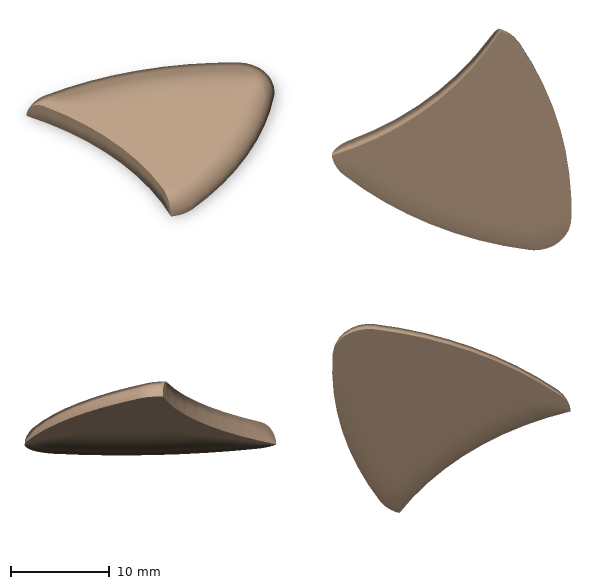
import cadquery as cq
import math

width = 23.32
length = 22.36
height = 2.0

corner_radius = 3.7
corner_center_y = 1.94
side_radius = 36.38
tail_arch = 2.05
edge_round = height
spare = 2.33

nose_center = (0.0, length - corner_radius)
corner_center = (width / 2 - corner_radius, corner_center_y)
tail_half_span = corner_center[0] + math.sqrt(corner_radius**2 - corner_center_y**2)


def along(center, radius, angle):
    """Point on a circle at an angle in radians."""
    return (center[0] + radius * math.cos(angle), center[1] + radius * math.sin(angle))


def mirrored(point):
    """Point reflected across the centerline X = 0."""
    return (-point[0], point[1])


def side_normals():
    """Angles of the side's outward normal where it meets the tail corner and the nose."""
    dx = corner_center[0] - nose_center[0]
    dy = nose_center[1] - corner_center[1]
    half_sweep = math.asin(math.hypot(dx, dy) / 2 / (side_radius - corner_radius))
    middle = math.atan2(dx, dy)
    return middle - half_sweep, middle + half_sweep


def make_blank():
    """Rounded triangle with a quarter-round top rim and spare stock below Z = 0."""
    low, high = side_normals()
    down = -math.pi / 2
    nose_end = along(nose_center, corner_radius, high)
    side_center = along(nose_center, side_radius - corner_radius, high + math.pi)
    side_middle = along(side_center, side_radius, (low + high) / 2)
    corner_start = along(corner_center, corner_radius, low)
    corner_middle = along(corner_center, corner_radius, (low + down) / 2)
    corner_end = along(corner_center, corner_radius, down)

    outline = (
        cq.Workplane("XY", origin=(0, 0, -spare))
        .moveTo(*mirrored(nose_end))
        .threePointArc((0, length), nose_end)
        .threePointArc(side_middle, corner_start)
        .threePointArc(corner_middle, corner_end)
        .lineTo(*mirrored(corner_end))
        .threePointArc(mirrored(corner_middle), mirrored(corner_start))
        .threePointArc(mirrored(side_middle), mirrored(nose_end))
        .close()
    )
    return outline.extrude(height + spare).faces(">Z").edges().fillet(edge_round)


def make_keep_zone():
    """Volume above Z = 0 and ahead of the concave tail arc."""
    arch_radius = (tail_half_span**2 + tail_arch**2) / (2 * tail_arch)
    block = cq.Workplane("XY").rect(2 * width, 4 * length).extrude(height + spare)
    tail_cylinder = (
        cq.Workplane("XY")
        .center(0, tail_arch - arch_radius)
        .circle(arch_radius)
        .extrude(height + spare)
    )
    return block.cut(tail_cylinder)


result = make_blank().intersect(make_keep_zone())